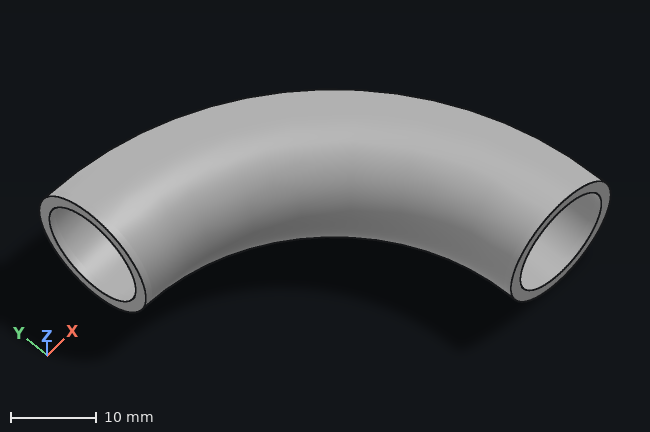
import cadquery as cq
import math

outer_diameter = 17.3
inner_diameter = 14.0
bend_radius = 38.1
bend_angle = 88.5
end_length = 1.0

angle = math.radians(bend_angle)


def point_on_bend(theta):
    return bend_radius * math.cos(theta), bend_radius * math.sin(theta)


bend_end_x, bend_end_y = point_on_bend(angle)
outlet = (
    bend_end_x - end_length * math.sin(angle),
    bend_end_y + end_length * math.cos(angle),
)
centreline = (
    cq.Workplane("XY")
    .moveTo(bend_radius, -end_length)
    .lineTo(bend_radius, 0)
    .threePointArc(point_on_bend(angle / 2), (bend_end_x, bend_end_y))
    .lineTo(*outlet)
)

result = (
    cq.Workplane("XZ", origin=(bend_radius, -end_length, 0))
    .circle(outer_diameter / 2)
    .circle(inner_diameter / 2)
    .sweep(centreline)
)